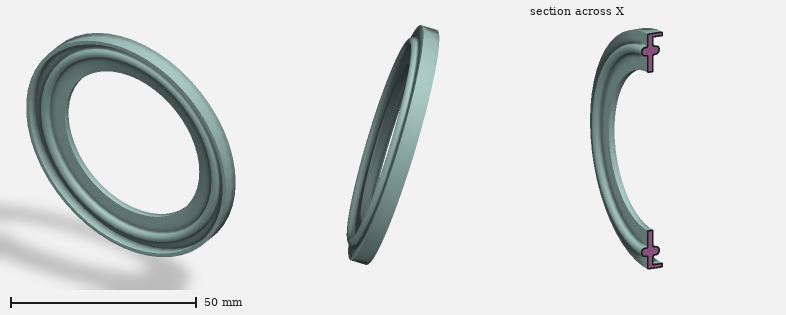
import cadquery as cq

bore_diameter = 44.5
rim_outer_diameter = 66.2
rim_inner_diameter = 64.0
bead_inner_diameter = 54.1
bead_outer_diameter = 58.9

overall_depth = 6.4
rim_depth = 4.5
web_thickness = 1.7
root_fillet = 0.4

bore_radius = bore_diameter / 2
rim_outer_radius = rim_outer_diameter / 2
rim_inner_radius = rim_inner_diameter / 2
bead_inner_radius = bead_inner_diameter / 2
bead_outer_radius = bead_outer_diameter / 2

bead_height = overall_depth - rim_depth
crown_radius = (bead_outer_radius - bead_inner_radius) / 2
bead_center_radius = (bead_outer_radius + bead_inner_radius) / 2
bead_side_height = bead_height - crown_radius

web_mid_plane = 0
web_back = web_mid_plane + web_thickness / 2
web_front = web_mid_plane - web_thickness / 2
rim_front = web_back - rim_depth


def revolve_about_y(profile):
    """Turn a closed profile, drawn as (radius, y), into a full ring."""
    return profile.revolve(360, (0, 0, 0), (0, 1, 0))


def make_body():
    """Web and rim lip as one L-shaped ring."""
    profile = (
        cq.Workplane("XY")
        .moveTo(bore_radius, web_back)
        .lineTo(rim_outer_radius, web_back)
        .lineTo(rim_outer_radius, rim_front)
        .lineTo(rim_inner_radius, rim_front)
        .lineTo(rim_inner_radius, web_front)
        .lineTo(bore_radius, web_front)
        .close()
    )
    return revolve_about_y(profile)


def make_back_bead():
    """Bead on the back face: concave root fillets, straight sides, half-round crown."""
    root_top = web_back + root_fillet
    side_top = web_back + bead_side_height
    crown_top = web_back + bead_height
    profile = (
        cq.Workplane("XY")
        .moveTo(bead_outer_radius + root_fillet, web_back)
        .radiusArc((bead_outer_radius, root_top), root_fillet)
        .lineTo(bead_outer_radius, side_top)
        .threePointArc((bead_center_radius, crown_top), (bead_inner_radius, side_top))
        .lineTo(bead_inner_radius, root_top)
        .radiusArc((bead_inner_radius - root_fillet, web_back), root_fillet)
        .lineTo(bead_inner_radius - root_fillet, web_mid_plane)
        .lineTo(bead_outer_radius + root_fillet, web_mid_plane)
        .close()
    )
    return revolve_about_y(profile)


back_bead = make_back_bead()
front_bead = back_bead.mirror("XZ")

result = make_body().union(back_bead).union(front_bead)